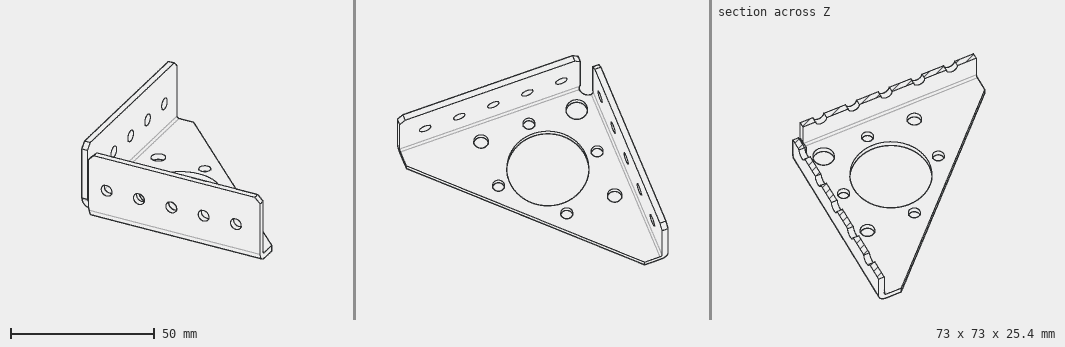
import cadquery as cq
import math

side = 73.03
height = 25.4
sheet = 2.286
inner_bend_radius = 0.794
outer_bend_radius = sheet + inner_bend_radius

flange_start = 5.588
flange_chamfer = 2.1
flange_hole_dia = 4.2
flange_hole_count = 5
flange_hole_pitch = 12.7
flange_hole_height = flange_hole_pitch

relief_radius = 3.175
bend_start = outer_bend_radius + relief_radius
bend_end_drift = 0.4
bend_end = bend_start - bend_end_drift
relief_lip = 0.6

tip_width = 8.8
bore_center = 27.38
bore_dia = 28.6
small_hole_dia = 4.2
small_hole_circle_radius = 18.4
small_hole_count = 4
medium_hole_dia = 5.1
medium_hole_offset = 18.0
corner_hole_dia = 7.5
corner_hole_offset = 17.5


def base_plate():
    """Triangular floor with blunt tips, ending at the bend lines and the corner relief."""
    relief_mid = outer_bend_radius + relief_radius * math.sqrt(0.5)
    return (
        cq.Workplane("XY")
        .moveTo(bend_start, outer_bend_radius)
        .lineTo(side, outer_bend_radius)
        .lineTo(side, tip_width)
        .lineTo(tip_width, side)
        .lineTo(outer_bend_radius, side)
        .lineTo(outer_bend_radius, bend_start)
        .threePointArc((relief_mid, relief_mid), (bend_start, outer_bend_radius))
        .close()
        .extrude(sheet)
    )


def bend_section(start_x, start_angle):
    """Quarter ring of sheet about the bend axis, in a plane across X, from start_angle in degrees."""
    def point(radius, sweep):
        angle = math.radians(start_angle + sweep)
        return (radius * math.cos(angle), radius * math.sin(angle))

    return (
        cq.Workplane("YZ", origin=(start_x, outer_bend_radius, outer_bend_radius))
        .moveTo(*point(outer_bend_radius, 0))
        .threePointArc(point(outer_bend_radius, 45), point(outer_bend_radius, 90))
        .lineTo(*point(inner_bend_radius, 90))
        .threePointArc(point(inner_bend_radius, 45), point(inner_bend_radius, 0))
        .close()
    )


def bend():
    """Quarter-round bend along X; its relief end drifts toward the corner as the sheet turns upright."""
    straight = bend_section(bend_start, 180).extrude(side - bend_start)
    end_stub = bend_section(bend_end, 180).extrude(bend_end_drift)
    helical_limit = bend_section(bend_end, 90).twistExtrude(bend_end_drift, 90)
    return straight.union(end_stub.intersect(helical_limit))


def flange():
    """Upright front flange with clipped top corners and a row of holes."""
    wall = (
        cq.Workplane("XZ")
        .moveTo(bend_end, outer_bend_radius)
        .lineTo(side, outer_bend_radius)
        .lineTo(side, height - flange_chamfer)
        .lineTo(side - flange_chamfer, height)
        .lineTo(flange_start + flange_chamfer, height)
        .lineTo(flange_start, height - flange_chamfer)
        .lineTo(flange_start, outer_bend_radius + relief_lip)
        .close()
        .extrude(-sheet)
    )
    hole_points = [
        (i * flange_hole_pitch, flange_hole_height)
        for i in range(1, flange_hole_count + 1)
    ]
    holes = (
        cq.Workplane("XZ")
        .pushPoints(hole_points)
        .circle(flange_hole_dia / 2)
        .extrude(-sheet)
    )
    return wall.cut(holes)


def mirror_across_diagonal(body):
    """Swap X and Y, turning the front flange into the left flange."""
    return body.mirror("YZ").rotate((0, 0, 0), (0, 0, 1), -90)


def floor_holes():
    """Central bore, its ring of four holes, and the three outlying holes."""
    center = cq.Workplane("XY", origin=(bore_center, bore_center, 0))
    bore = center.circle(bore_dia / 2).extrude(sheet)
    ring = (
        center.polarArray(small_hole_circle_radius, 0, 360, small_hole_count)
        .circle(small_hole_dia / 2)
        .extrude(sheet)
    )
    medium = (
        center.pushPoints([
            (-medium_hole_offset, medium_hole_offset),
            (medium_hole_offset, -medium_hole_offset),
        ])
        .circle(medium_hole_dia / 2)
        .extrude(sheet)
    )
    corner = (
        center.center(-corner_hole_offset, -corner_hole_offset)
        .circle(corner_hole_dia / 2)
        .extrude(sheet)
    )
    return bore.union(ring).union(medium).union(corner)


front_wall = bend().union(flange())
left_wall = mirror_across_diagonal(front_wall)
floor = base_plate().cut(floor_holes())
result = floor.union(front_wall).union(left_wall)